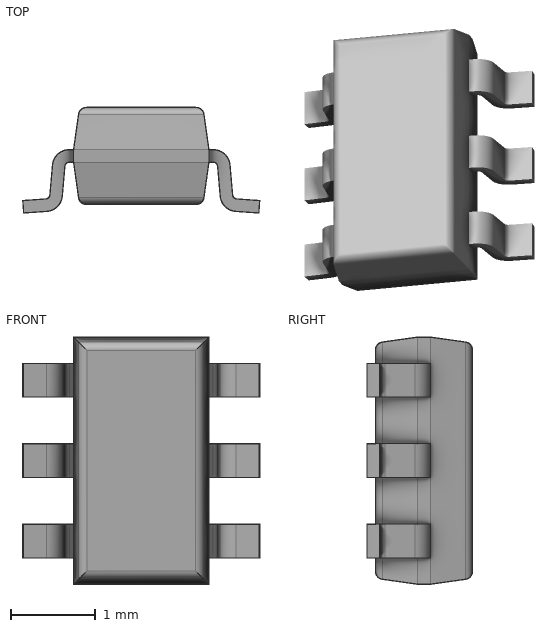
import cadquery as cq
import math


body_width = 1.6
body_length = 2.92
shell_depth = 0.5
draft_angle = 8.0
body_fillet = 0.1
standoff = 0.1

lead_span = 2.8
lead_width = 0.4
lead_thickness = 0.15
lead_pitch = 0.95
leads_per_side = 3
lead_stub = 0.05
inner_bend = 0.05
leg_slope = math.radians(5.0)
foot_slope = math.radians(4.0)

half_width = body_width / 2
outer_bend = inner_bend + lead_thickness
band_bottom = standoff + shell_depth
band_top = band_bottom + lead_thickness


def drafted_shell():
    """Block that tapers away from the band, with its far edges rounded."""
    return (
        cq.Workplane("XY")
        .rect(body_width, body_length)
        .extrude(shell_depth, taper=draft_angle)
        .faces(">Z")
        .edges()
        .fillet(body_fillet)
    )


def make_housing():
    """Middle band as thick as the leads, with a drafted shell on either side."""
    band = cq.Workplane("XY").box(body_width, lead_thickness, body_length)
    band = band.translate((0, band_bottom + lead_thickness / 2, 0))
    upper_shell = drafted_shell().rotate((0, 0, 0), (1, 0, 0), -90).translate((0, band_top, 0))
    lower_shell = drafted_shell().rotate((0, 0, 0), (1, 0, 0), 90).translate((0, band_bottom, 0))
    return band.union(upper_shell).union(lower_shell)


def arc_point(center, radius, angle):
    """Point on a circle, with the angle measured from +X towards +Y."""
    return (center[0] + radius * math.cos(angle), center[1] + radius * math.sin(angle))


def make_lead(side, z_center):
    """Gull-wing lead that butts against the housing band; side is +1 or -1 along X."""
    leg_sin = math.sin(leg_slope)
    leg_cos = math.cos(leg_slope)
    foot_sin = math.sin(foot_slope)
    foot_cos = math.cos(foot_slope)
    bend_sum = inner_bend + outer_bend
    shoulder = (half_width + lead_stub, band_top - outer_bend)

    drop = shoulder[1] + bend_sum * leg_sin - outer_bend * foot_cos
    reach = lead_span / 2 - shoulder[0] - bend_sum * leg_cos + inner_bend * foot_sin
    shared_cos = math.cos(leg_slope + foot_slope)
    leg_length = (drop * foot_cos - reach * foot_sin) / shared_cos
    foot_length = (reach * leg_cos - drop * leg_sin) / shared_cos

    ankle = (
        shoulder[0] + bend_sum * leg_cos + leg_length * leg_sin,
        shoulder[1] + bend_sum * leg_sin - leg_length * leg_cos,
    )
    upright = math.pi / 2
    shoulder_middle = (upright + leg_slope) / 2
    leg_side = math.pi + leg_slope
    foot_side = 3 * upright - foot_slope
    ankle_middle = (leg_side + foot_side) / 2

    foot_top = arc_point(ankle, inner_bend, foot_side)
    foot_bottom = arc_point(ankle, outer_bend, foot_side)
    foot_run = (foot_length * foot_cos, -foot_length * foot_sin)

    profile = (
        cq.Workplane("XY")
        .moveTo(half_width, band_top)
        .lineTo(shoulder[0], band_top)
        .threePointArc(
            arc_point(shoulder, outer_bend, shoulder_middle),
            arc_point(shoulder, outer_bend, leg_slope),
        )
        .lineTo(*arc_point(ankle, inner_bend, leg_side))
        .threePointArc(arc_point(ankle, inner_bend, ankle_middle), foot_top)
        .lineTo(foot_top[0] + foot_run[0], foot_top[1] + foot_run[1])
        .lineTo(foot_bottom[0] + foot_run[0], foot_bottom[1] + foot_run[1])
        .lineTo(*foot_bottom)
        .threePointArc(
            arc_point(ankle, outer_bend, ankle_middle),
            arc_point(ankle, outer_bend, leg_side),
        )
        .lineTo(*arc_point(shoulder, inner_bend, leg_slope))
        .threePointArc(
            arc_point(shoulder, inner_bend, shoulder_middle),
            (shoulder[0], band_bottom),
        )
        .lineTo(half_width, band_bottom)
        .close()
    )
    lead = profile.extrude(lead_width / 2, both=True)
    if side < 0:
        lead = lead.mirror("YZ")
    return lead.translate((0, 0, z_center))


housing = make_housing()

leads = []
for side in (1, -1):
    for row in range(leads_per_side):
        z_center = (row - (leads_per_side - 1) / 2) * lead_pitch
        leads.append(make_lead(side, z_center))

result = cq.Compound.makeCompound([housing.solids().val(), *[lead.solids().val() for lead in leads]])